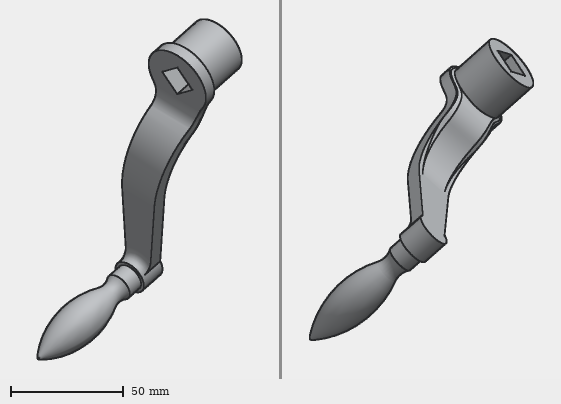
import cadquery as cq
import math


tolerance = 0.01

head_radius = 33.0 / 2
hub_radius = 14.0
hub_back = 28.0
plate_thickness = 5.8
raised_thickness = 6.7
bevel_depth = 1.5
bevel_width = head_radius - hub_radius
square_diagonal = 17.3

neck_angle = math.radians(28.9)
neck_radius = 26.5
taper_angle = math.radians(3.2)

bend_start_z = -11.6
bend_end_z = -53.0
front_bend_radius = 8.8
back_bend_radius = front_bend_radius + plate_thickness
raised_bend_radius = 16.4
arm_front = -27.3
arm_back = -20.2

grip_z = -100.0
boss_radius = 8.2
boss_front = -33.2
boss_fillet = 3.8
stem_radius = 6.6
stem_front = -41.0
waist_radius = 5.2
waist_y = -46.0
flare_radius = 5.8
flare_y = -49.5
belly_radius = 19.6 / 2
belly_y = -69.7
tip_radius = 1.3
tip_y = -96.3
tip_length = 0.6
tip_end = tip_y - tip_length


def arm_outline():
    """Keyhole outline of head and arm, extruded along Y."""
    center_x = (head_radius + neck_radius) * math.cos(neck_angle)
    center_z = -(head_radius + neck_radius) * math.sin(neck_angle)

    def neck_point(angle):
        return center_x - neck_radius * math.cos(angle), center_z + neck_radius * math.sin(angle)

    start = neck_point(neck_angle)
    middle = neck_point((neck_angle + taper_angle) / 2)
    end = neck_point(taper_angle)
    foot = (end[0] - (end[1] - grip_z) * math.tan(taper_angle), grip_z)

    def mirrored(point):
        return -point[0], point[1]

    return (
        cq.Workplane("XZ", origin=(0, hub_back, 0))
        .moveTo(*start)
        .threePointArc(middle, end)
        .lineTo(*foot)
        .lineTo(*mirrored(foot))
        .lineTo(*mirrored(end))
        .threePointArc(mirrored(middle), mirrored(start))
        .threePointArc((0, head_radius), start)
        .close()
        .extrude(hub_back - arm_front)
    )


def bend_points(top_y, bottom_y, upper_radius):
    """Through-points of two tangent arcs leading from one vertical face to another."""
    offset = top_y - bottom_y
    drop = bend_start_z - bend_end_z
    radius_sum = (offset**2 + drop**2) / (2 * offset)
    lower_radius = radius_sum - upper_radius
    upper_y = top_y - upper_radius
    lower_y = bottom_y + lower_radius
    sweep = math.asin(drop / radius_sum)

    def upper(angle):
        return upper_y + upper_radius * math.cos(angle), bend_start_z - upper_radius * math.sin(angle)

    def lower(angle):
        return lower_y - lower_radius * math.cos(angle), bend_end_z + lower_radius * math.sin(angle)

    return [upper(0), upper(sweep / 2), upper(sweep), lower(sweep / 2), lower(0)]


def arm_profile(thickness, back_radius):
    """Side profile of plate and bent arm, extruded across the full width."""
    front = bend_points(0, arm_front, front_bend_radius)
    back = bend_points(thickness, arm_back, back_radius)
    return (
        cq.Workplane("YZ")
        .moveTo(0, head_radius)
        .lineTo(*front[0])
        .threePointArc(front[1], front[2])
        .threePointArc(front[3], front[4])
        .lineTo(arm_front, grip_z)
        .lineTo(arm_back, grip_z)
        .lineTo(*back[4])
        .threePointArc(back[3], back[2])
        .threePointArc(back[1], back[0])
        .lineTo(thickness, head_radius)
        .close()
        .extrude(head_radius, both=True)
    )


def crowned_back():
    """Thicker copy of the arm, its back edges bevelled; it sinks into the arm as the bend ends."""
    body = arm_outline().intersect(arm_profile(raised_thickness, raised_bend_radius))
    rim = []
    for face in body.faces().vals():
        normal = face.normalAt()
        faces_back = abs(normal.x) < tolerance and normal.y > tolerance
        if faces_back:
            rim += [e for e in face.Edges() if abs(e.Center().x) > tolerance or e.Center().z > 0]
    return body.newObject(rim).chamfer(bevel_depth, bevel_width)


def cylinder(radius, z, back, front):
    return cq.Workplane("XZ", origin=(0, back, z)).circle(radius).extrude(back - front)


def boss_blend():
    """Concave ring from arm face to boss, trimmed to the width of the arm."""
    outer = boss_radius + boss_fillet
    center_y = arm_front - boss_fillet
    diagonal = boss_fillet * math.sqrt(0.5)
    ring = (
        cq.Workplane("XY", origin=(0, 0, grip_z))
        .moveTo(0, arm_front)
        .lineTo(outer, arm_front)
        .threePointArc((outer - diagonal, center_y + diagonal), (boss_radius, center_y))
        .lineTo(0, center_y)
        .close()
        .revolve(360, (0, 0, 0), (0, 1, 0))
    )
    trim = arm_outline().translate((0, center_y - arm_front, 0))
    return ring.intersect(trim)


def grip():
    """Turned grip: stem, waist, long belly and a small blunt tip."""
    return (
        cq.Workplane("XY", origin=(0, 0, grip_z))
        .moveTo(0, boss_front)
        .lineTo(stem_radius, boss_front)
        .lineTo(stem_radius, stem_front)
        .threePointArc((waist_radius, waist_y), (flare_radius, flare_y))
        .threePointArc((belly_radius, belly_y), (tip_radius, tip_y))
        .lineTo(tip_radius / 2, tip_end)
        .lineTo(0, tip_end)
        .close()
        .revolve(360, (0, 0, 0), (0, 1, 0))
    )


arm = arm_outline().intersect(arm_profile(plate_thickness, back_bend_radius))
hub = cylinder(hub_radius, 0, hub_back, 0)
boss = cylinder(boss_radius, grip_z, arm_back, boss_front)

square_hole = (
    cq.Workplane("XZ", origin=(0, hub_back, 0))
    .polygon(4, square_diagonal)
    .extrude(hub_back)
)

result = arm
for piece in (crowned_back(), hub, boss, boss_blend(), grip()):
    result = result.union(piece)
result = result.cut(square_hole)